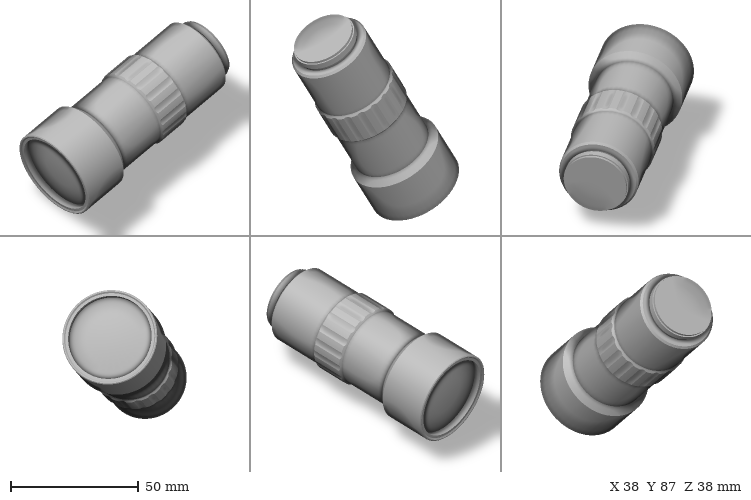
import cadquery as cq
import math

length = 87.0

housing_radius = 38.0 / 2
rim_chamfer = 0.35
shoulder_start = 19.9
bevel_mouth_radius = 36.6 / 2
bevel_inner_radius = 35.6 / 2
bevel_depth = bevel_mouth_radius - bevel_inner_radius

lens_radius = 16.7
lens_edge_depth = 3.3
lens_bulge = 1.6

barrel_radius = 16.1
shoulder_end = shoulder_start + housing_radius - barrel_radius
barrel_end = 81.95
barrel_chamfer = 0.8

neck_radius = 25.1 / 2
collar_radius = 26.2 / 2
collar_start = 83.4
collar_end = 85.95

grip_radius = 17.0
grip_start = 43.9
grip_end = 59.0
grip_bevel = 1.05
flute_count = 18
flute_width = 3.0
flute_floor_radius = 16.6


def make_body():
    """Revolve the half profile, including the domed lens, about the Y axis."""
    lens_crown = lens_edge_depth - lens_bulge
    half_edge = lens_radius / 2
    sphere_radius = (lens_radius**2 + lens_bulge**2) / (2 * lens_bulge)
    half_edge_depth = lens_crown + sphere_radius - math.sqrt(sphere_radius**2 - half_edge**2)
    return (
        cq.Workplane("XY")
        .moveTo(0, lens_crown)
        .threePointArc((half_edge, half_edge_depth), (lens_radius, lens_edge_depth))
        .lineTo(lens_radius, bevel_depth)
        .lineTo(bevel_inner_radius, bevel_depth)
        .lineTo(bevel_mouth_radius, 0)
        .lineTo(housing_radius - rim_chamfer, 0)
        .lineTo(housing_radius, rim_chamfer)
        .lineTo(housing_radius, shoulder_start)
        .lineTo(barrel_radius, shoulder_end)
        .lineTo(barrel_radius, barrel_end - barrel_chamfer)
        .lineTo(barrel_radius - barrel_chamfer, barrel_end)
        .lineTo(neck_radius, barrel_end)
        .lineTo(neck_radius, collar_start)
        .lineTo(collar_radius, collar_start)
        .lineTo(collar_radius, collar_end)
        .lineTo(neck_radius, collar_end)
        .lineTo(neck_radius, length)
        .lineTo(0, length)
        .close()
        .revolve(360, (0, 0, 0), (0, 1, 0))
    )


def y_cylinder(radius, start, end):
    """Cylinder centred on the Y axis between two Y positions."""
    return cq.Workplane("XZ", origin=(0, start, 0)).circle(radius).extrude(start - end)


def make_grip():
    """Bevelled ring with shallow round flutes, one land centred on +Z."""
    ring = (
        cq.Workplane("XY")
        .moveTo(0, grip_start)
        .lineTo(barrel_radius, grip_start)
        .lineTo(grip_radius, grip_start + grip_bevel)
        .lineTo(grip_radius, grip_end - grip_bevel)
        .lineTo(barrel_radius, grip_end)
        .lineTo(0, grip_end)
        .close()
        .revolve(360, (0, 0, 0), (0, 1, 0))
    )
    half_width = flute_width / 2
    flute_depth = math.sqrt(grip_radius**2 - half_width**2) - flute_floor_radius
    cutter_radius = (half_width**2 + flute_depth**2) / (2 * flute_depth)
    cutter = y_cylinder(cutter_radius, grip_start, grip_end)
    cutter = cutter.translate((0, 0, flute_floor_radius + cutter_radius))
    pitch = 360 / flute_count
    for index in range(flute_count):
        angle = (index + 0.5) * pitch
        ring = ring.cut(cutter.rotate((0, 0, 0), (0, 1, 0), angle))
    return ring


result = make_body().union(make_grip())